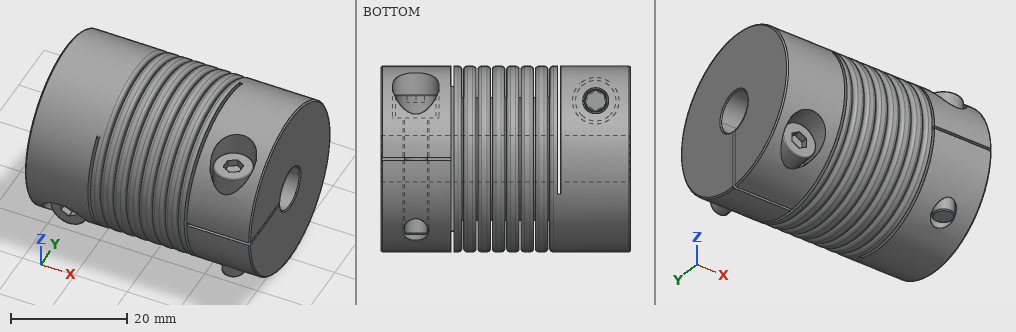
import cadquery as cq
import math

length = 43.0
outer_radius = 16.0
bore_radius = 4.0
rim_chamfer = 0.25
bore_chamfer = 0.2

groove_count = 7
groove_span = 14.8
groove_width = 0.3
groove_floor_radius = 10.6
groove_lip_radius = 0.65

cut_width = 0.5
relief_cut_x = 9.2
left_relief_top_z = 10.0
right_relief_edge_y = 6.0

screw_x = 15.5
screw_offset = 10.0
shank_radius = 1.98
screw_hole_radius = 2.25
head_radius = 3.5
head_height = 4.0
head_fillet = 0.17
head_top = 11.0
head_recess_radius = 4.0
screw_tip = 13.0
tip_chamfer = 0.2
hex_across_flats = 3.0
hex_depth = 1.3

groove_pitch = groove_span / (groove_count - 1)
half_length = length / 2
hub_length = half_length - relief_cut_x
head_seat = head_top - head_height
hex_diameter = hex_across_flats / math.cos(math.radians(30))
beyond = 2 * outer_radius



def place_left(workplane):
    return workplane.rotate((0, 0, 0), (1, 0, 0), 90).translate((-screw_x, 0, -screw_offset))


def place_right(workplane):
    return workplane.translate((screw_x, -screw_offset, 0))


def make_blank():
    """Bored cylinder with broken edges at both ends."""
    blank = cq.Workplane("YZ").circle(outer_radius).extrude(half_length, both=True)
    blank = blank.faces("<X or >X").edges().chamfer(rim_chamfer)
    bore = cq.Workplane("YZ").circle(bore_radius).extrude(half_length, both=True)
    blank = blank.cut(bore)
    bore_edges = blank.faces("<X or >X").edges(cq.selectors.RadiusNthSelector(0))
    return bore_edges.chamfer(bore_chamfer)


def make_groove(center_x):
    """Annular cutter for a narrow groove whose lips round over to the outer surface."""
    half_width = groove_width / 2
    lip_reach = half_width + groove_lip_radius
    lip_start = outer_radius - groove_lip_radius
    lip_mid = groove_lip_radius * (1 - math.cos(math.radians(45)))
    profile = (
        cq.Workplane("XY")
        .moveTo(center_x - half_width, groove_floor_radius)
        .lineTo(center_x + half_width, groove_floor_radius)
        .lineTo(center_x + half_width, lip_start)
        .threePointArc(
            (center_x + half_width + lip_mid, outer_radius - lip_mid),
            (center_x + lip_reach, outer_radius),
        )
        .lineTo(center_x - lip_reach, outer_radius)
        .threePointArc(
            (center_x - half_width - lip_mid, outer_radius - lip_mid),
            (center_x - half_width, lip_start),
        )
        .close()
    )
    return profile.revolve(360, (0, 0, 0), (1, 0, 0))


def make_relief_cuts():
    """Cross cuts that leave each hub joined to the bellows along one segment."""
    left = cq.Workplane("XY").box(cut_width, beyond, beyond)
    left = left.translate((-relief_cut_x, 0, left_relief_top_z - beyond / 2))
    right = cq.Workplane("XY").box(cut_width, beyond, beyond)
    right = right.translate((relief_cut_x, right_relief_edge_y - beyond / 2, 0))
    return left, right


def make_slits():
    """Lengthwise slits from the bore outwards: down in the left hub, to -Y in the right one."""
    middle_x = half_length - hub_length / 2
    left = cq.Workplane("XY").box(hub_length, cut_width, beyond)
    left = left.translate((-middle_x, 0, -beyond / 2))
    right = cq.Workplane("XY").box(hub_length, beyond, cut_width)
    right = right.translate((middle_x, -beyond / 2, 0))
    return left, right


def make_screw_hole():
    """Through hole for the shank with a wide recess for the head."""
    hole = cq.Workplane("XY").circle(screw_hole_radius).extrude(beyond / 2, both=True)
    recess = cq.Workplane("XY").workplane(offset=head_seat).circle(head_recess_radius).extrude(beyond)
    return hole.union(recess)


def make_screw():
    """Socket head cap screw."""
    shank_length = screw_tip + head_seat
    shank = cq.Workplane("XY").workplane(offset=-screw_tip).circle(shank_radius).extrude(shank_length)
    shank = shank.faces("<Z").chamfer(tip_chamfer)
    head = cq.Workplane("XY").workplane(offset=head_seat).circle(head_radius).extrude(head_height)
    head = head.faces(">Z").edges().fillet(head_fillet)
    socket = (
        cq.Workplane("XY").workplane(offset=head_top)
        .polygon(6, hex_diameter).extrude(-hex_depth)
        .rotate((0, 0, 0), (0, 0, 1), 90)
    )
    return shank.union(head).cut(socket)


def make_coupling():
    """One-piece body: two clamping hubs joined by the grooved middle."""
    body = make_blank()
    for index in range(groove_count):
        body = body.cut(make_groove(index * groove_pitch - groove_span / 2))
    for cutter in (*make_relief_cuts(), *make_slits()):
        body = body.cut(cutter)
    for place in (place_left, place_right):
        body = body.cut(place(make_screw_hole()))
    return body


coupling = make_coupling()
screws = [place(make_screw()) for place in (place_left, place_right)]

result = cq.Compound.makeCompound([coupling.val(), *[screw.val() for screw in screws]])